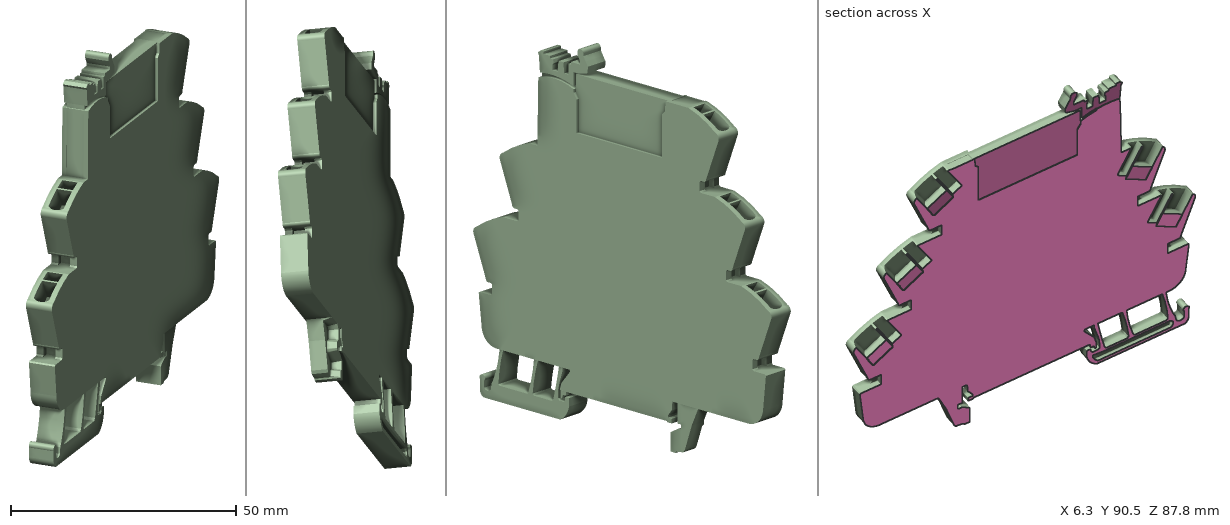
import cadquery as cq
import math


housing_width = 6.3
foot_width = 6.0
lever_width = 5.7
relay_width = 4.86
relay_bottom = 68.1
housing_length = 90.51
overall_height = 87.83

left_face = -housing_width / 2
right_face = housing_width / 2
foot_right_face = left_face + foot_width

level_pitch = 19.0
step_in = 8.0
base_top = 24.5
base_half_length = 43.6
base_chamfer = 0.3
base_bottom = 11.9
rail_seat = 7.0
foot_top = 12.4
shoulder_start = -14.8
end_wall = -25.8
end_wall_top = (-25.5, 78.5)
housing_top = base_top + 3 * level_pitch

head_flat_start = 9.2
head_inner_end = 12.0
head_wall = 5.77
head_underside = 16.2

well_tilt = 30.0
well_half_width = 1.86
wire_entry_length = 5.9
wire_entry_bulge = 0.8
wire_entry_depth = 5.4
clamp_length = 3.5
well_partition = 0.45
release_pocket_length = 2.7
release_pocket_depth = 8.0
well_overshoot = 3.0
well_edge_inset = 5.9
well_edge_drop = 1.25

notch_channel_width = 2.86
notch_channel_depth = 1.5
notch_chamfer = 0.35

marker_width = 4.28
marker_depth = 0.1
top_label_start = 13.7
top_label_end = 19.25
top_label_right = 1.86
leg_web_depth = 2.2
leg_web_draft = 12.0
foot_groove_depth = 4.0
root = 0.5

heads = [(1, 1), (1, 2), (1, 3), (-1, 1), (-1, 2)]


def profile(points, x_from, x_to):
    """Straight-sided (y, z) outline extruded from x_from to x_to."""
    return cq.Workplane("YZ").workplane(offset=x_from).polyline(points).close().extrude(x_to - x_from)


def tip_y(side, level):
    return side * (housing_length / 2 - (level - 1) * step_in)


def level_top(level):
    return base_top + level * level_pitch


def slab(y_a, y_b, z_a, z_b, width):
    """Block centred on X = 0 between two Y and two Z values."""
    return (
        cq.Workplane("XY")
        .box(width, abs(y_b - y_a), z_b - z_a)
        .translate((0, (y_a + y_b) / 2, (z_a + z_b) / 2))
    )


def terminal_head(side, level):
    tip = tip_y(side, level)
    top = level_top(level)

    def at(inward, down):
        return (tip - side * inward, top - down)

    return (
        cq.Workplane("YZ")
        .workplane(offset=left_face)
        .moveTo(*at(head_inner_end, 0))
        .lineTo(*at(head_flat_start, 0))
        .threePointArc(at(4.95, 1.6), at(1.0, 4.0))
        .threePointArc(at(0.085, 4.85), at(0.15, 5.95))
        .lineTo(*at(3.8, 15.5))
        .threePointArc(at(4.0, 16.0), at(4.5, head_underside))
        .lineTo(*at(head_wall - notch_chamfer, head_underside))
        .lineTo(*at(head_wall, head_underside + notch_chamfer))
        .lineTo(*at(head_wall, level_pitch - notch_chamfer))
        .lineTo(*at(head_wall - notch_chamfer, level_pitch))
        .lineTo(*at(head_inner_end, level_pitch))
        .close()
        .extrude(housing_width)
    )


def base():
    return (
        cq.Workplane("YZ")
        .workplane(offset=left_face)
        .moveTo(base_half_length - base_chamfer, base_top)
        .lineTo(base_half_length, base_top - base_chamfer)
        .lineTo(42.7, 15.8)
        .threePointArc((41.3, 13.1), (38.4, base_bottom))
        .lineTo(15.2, base_bottom)
        .lineTo(15.0, 9.8)
        .lineTo(13.8, 8.3)
        .lineTo(13.8, 7.85)
        .lineTo(15.0, 7.85)
        .lineTo(15.0, 6.75)
        .lineTo(13.8, 6.75)
        .lineTo(13.4, rail_seat)
        .lineTo(-19.0, rail_seat)
        .lineTo(-18.5, 8.75)
        .lineTo(-15.85, 12.0)
        .lineTo(-16.05, foot_top)
        .lineTo(-38.0, foot_top)
        .threePointArc((-41.3, 13.6), (-42.75, 16.9))
        .lineTo(-base_half_length, base_top - base_chamfer)
        .lineTo(-base_half_length + base_chamfer, base_top)
        .close()
        .extrude(housing_width)
    )


def relay_tower():
    """Top storey: relay bay, then the domed shoulder under the lever."""
    wall = tip_y(1, 3) - head_flat_start
    return (
        cq.Workplane("YZ")
        .workplane(offset=left_face)
        .moveTo(wall, level_top(2))
        .lineTo(wall, housing_top)
        .lineTo(shoulder_start, housing_top)
        .lineTo(shoulder_start, 78.1)
        .threePointArc((-20.8, 79.3), end_wall_top)
        .lineTo(end_wall, level_top(2))
        .close()
        .extrude(housing_width)
    )


def stepped_body():
    body = base().union(relay_tower())
    for level in (1, 2):
        wall = tip_y(1, level) - head_flat_start
        body = body.union(slab(-wall, wall, level_top(level - 1), level_top(level), housing_width))
    for side, level in heads:
        body = body.union(terminal_head(side, level))
    return body


def lever_rib():
    """Narrow rib on the shoulder that the lever rests on."""
    outline = [(-19.0, 77.5), (-19.0, 80.0), (-25.3, 80.0), (-25.3, 77.5)]
    return profile(outline, -marker_width / 2, marker_width / 2)


def marker_recess():
    wall_top_y, wall_top_z = end_wall_top
    outside = end_wall - 1
    outline = [
        (wall_top_y + marker_depth, wall_top_z),
        (end_wall + marker_depth, level_top(2)),
        (outside, level_top(2)),
        (outside, wall_top_z),
    ]
    return profile(outline, -marker_width / 2, marker_width / 2)


def top_label_recess():
    """Shallow label field beside the relay, open on the -X side."""
    return (
        cq.Workplane("XY")
        .workplane(offset=housing_top - marker_depth)
        .moveTo(left_face, top_label_start)
        .lineTo(top_label_right, top_label_start)
        .lineTo(top_label_right, top_label_end)
        .lineTo(left_face, top_label_end)
        .close()
        .extrude(2 * marker_depth)
    )


def notch_channel(side, level):
    """Central groove in the back wall of the finger notch under a head."""
    wall = tip_y(side, level) - side * head_wall
    mouth = wall + side * notch_chamfer
    floor = level_top(level - 1)
    ceiling = level_top(level) - head_underside
    return slab(mouth, wall - side * notch_channel_depth, floor, ceiling, notch_channel_width)


def spring_leg():
    outline = [
        (22.8, base_bottom), (20.8, 7.5), (18.7, 1.3), (18.2, 0.65), (16.1, 0.35), (15.9, 0),
        (14.35, 0), (14.35, 4.5), (15.1, 4.95), (16.6, 5.8), (17.6, 5.8), (17.6, 7.0), (16.4, 7.0),
        (16.4, base_bottom + root), (22.8, base_bottom + root),
    ]
    leg = profile(outline, left_face, foot_right_face)
    web = [
        (30, 11.9), (18.55, 11.9), (17.6, 10.9), (17.6, 8.5), (18.9, 7.4), (18.9, 6.0), (18.6, 5.6),
        (15.1, 4.3), (15.1, 2.2), (15.95, 1.6), (15.95, -5), (30, -5),
    ]
    recess = (
        cq.Workplane("YZ")
        .workplane(offset=left_face)
        .polyline(web)
        .close()
        .extrude(leg_web_depth, taper=leg_web_draft)
    )
    return leg.cut(recess)


def fixed_hook():
    outline = [
        (-17.35, rail_seat + root), (-17.35, 5.95), (-18.3, 5.95), (-18.6, 5.0), (-19.0, 5.2),
        (-19.0, rail_seat), (-18.86, rail_seat + root),
    ]
    return profile(outline, left_face, foot_right_face)


def rail_foot():
    foot = (
        cq.Workplane("YZ")
        .workplane(offset=left_face)
        .moveTo(-18.35, foot_top + root)
        .lineTo(-18.4, 11.6)
        .lineTo(-19.35, 8.55)
        .lineTo(-19.75, 6.9)
        .lineTo(-19.85, 4.75)
        .lineTo(-19.4, 4.4)
        .lineTo(-18.0, 4.4)
        .lineTo(-17.6, 4.95)
        .lineTo(-17.6, 5.6)
        .lineTo(-16.45, 5.6)
        .lineTo(-16.45, 3.65)
        .threePointArc((-17.3, 1.6), (-19.2, 0))
        .lineTo(-42.4, 0)
        .threePointArc((-43.25, 0.75), (-43.55, 1.8))
        .lineTo(-43.55, 4.1)
        .threePointArc((-42.8, 5.3), (-41.95, 4.5))
        .lineTo(-42.2, 3.95)
        .lineTo(-42.2, 2.3)
        .threePointArc((-41.3, 1.8), (-40.2, 2.4))
        .lineTo(-39.95, 3.85)
        .lineTo(-39.5, 4.7)
        .threePointArc((-38.27, 8.3), (-37.6, 11.9))
        .lineTo(-37.6, foot_top + root)
        .close()
        .extrude(foot_width)
    )
    window_floor = 3.8
    inner_window = (
        cq.Workplane("YZ")
        .workplane(offset=left_face)
        .moveTo(-19.5, foot_top)
        .lineTo(-25.85, foot_top)
        .threePointArc((-26.9, 8.3), (-27.5, 4.2))
        .lineTo(-27.2, window_floor)
        .lineTo(-21.6, window_floor)
        .lineTo(-21.2, 4.4)
        .threePointArc((-20.3, 8.3), (-19.5, foot_top))
        .close()
        .extrude(foot_width)
    )
    outer_window = (
        cq.Workplane("YZ")
        .workplane(offset=left_face)
        .moveTo(-27.1, foot_top)
        .lineTo(-36.45, foot_top)
        .threePointArc((-37.4, 8.3), (-37.9, 4.1))
        .lineTo(-37.5, window_floor)
        .lineTo(-29.1, window_floor)
        .lineTo(-28.75, 4.4)
        .threePointArc((-27.7, 8.3), (-27.1, foot_top))
        .close()
        .extrude(foot_width)
    )
    groove = [
        (-18.2, 3.2), (-20.9, 2.95), (-38.7, 2.95), (-39.3, 2.4), (-39.3, 1.7), (-38.8, 1.0),
        (-19.4, 1.0), (-18.6, 1.8), (-18.1, 2.7),
    ]
    foot = foot.cut(inner_window).cut(outer_window)
    return foot.cut(profile(groove, left_face, left_face + foot_groove_depth))


def well_plane(side, level, depth):
    """Plane square to the well axis, `depth` below the head; local x runs outward."""
    lean = math.radians(well_tilt)
    axis = (0, side * math.sin(lean), math.cos(lean))
    outward = (0, side * math.cos(lean), -math.sin(lean))
    edge = (0, tip_y(side, level) - side * well_edge_inset, level_top(level) - well_edge_drop)
    origin = tuple(e - depth * a for e, a in zip(edge, axis))
    return cq.Workplane(cq.Plane(origin=origin, xDir=outward, normal=axis))


def wire_shaft(side, level, bottom, height):
    """Shaft with one rounded end, rising `height` from `bottom` below the head."""
    straight = wire_entry_length - wire_entry_bulge
    return (
        well_plane(side, level, bottom)
        .moveTo(0, -well_half_width)
        .lineTo(straight, -well_half_width)
        .threePointArc((wire_entry_length, 0), (straight, well_half_width))
        .lineTo(0, well_half_width)
        .close()
        .extrude(height)
    )


def wire_entry(side, level):
    bottom = wire_entry_depth + clamp_length
    return wire_shaft(side, level, bottom, bottom + well_overshoot)


def clamp(side, level):
    """Plug at the bottom of a wire entry."""
    return wire_shaft(side, level, wire_entry_depth + clamp_length, clamp_length)


def release_pocket(side, level):
    middle = -well_partition - release_pocket_length / 2
    return (
        well_plane(side, level, release_pocket_depth)
        .center(middle, 0)
        .rect(release_pocket_length, 2 * well_half_width)
        .extrude(release_pocket_depth + well_overshoot)
    )


relay_outline = [
    (13.15, housing_top), (12.9, 79.1), (12.1, 78.3), (12.1, relay_bottom),
    (-13.85, relay_bottom), (-13.85, 75.9),
    (shoulder_start, 77.3), (shoulder_start, housing_top),
]


def make_relay():
    return profile(relay_outline, -relay_width / 2, relay_width / 2)


def make_lever():
    hook_back = 84.15
    comb_top = 83.55
    comb_root = 81.0
    heel = -25.3
    return (
        cq.Workplane("YZ")
        .workplane(offset=-lever_width / 2)
        .moveTo(-12.12, 87.0)
        .threePointArc((-13.0, overall_height), (-13.9, 87.0))
        .lineTo(-13.9, 86.35)
        .lineTo(-13.05, 84.8)
        .lineTo(-13.05, hook_back)
        .lineTo(-15.9, hook_back)
        .lineTo(-15.9, comb_top)
        .lineTo(-16.65, comb_top)
        .lineTo(-16.55, comb_root)
        .lineTo(-18.0, comb_root)
        .lineTo(-18.1, comb_top)
        .lineTo(-19.55, comb_top)
        .lineTo(-19.85, 82.5)
        .lineTo(-19.85, comb_root)
        .lineTo(-21.45, comb_root)
        .lineTo(-21.5, 82.2)
        .lineTo(-21.1, 82.7)
        .lineTo(-21.3, comb_top)
        .lineTo(-22.25, comb_top)
        .lineTo(-22.25, hook_back)
        .lineTo(-24.15, hook_back)
        .lineTo(-24.15, 84.75)
        .lineTo(-25.2, 84.75)
        .lineTo(-25.95, 84.1)
        .lineTo(-25.6, comb_top)
        .lineTo(heel, 79.6)
        .threePointArc((-20.8, 79.85), (-15.15, 78.7))
        .lineTo(-15.15, 81.95)
        .lineTo(-13.4, 81.95)
        .lineTo(-10.8, 82.65)
        .lineTo(-10.75, 84.15)
        .lineTo(-11.4, 85.25)
        .lineTo(-12.1, 86.35)
        .close()
        .extrude(lever_width)
    )


relay = make_relay()
lever = make_lever()
clamps = [clamp(side, level) for side, level in heads]

housing = stepped_body().union(spring_leg()).union(fixed_hook()).union(rail_foot())
housing = housing.union(lever_rib()).cut(marker_recess()).cut(top_label_recess()).cut(lever)
housing = housing.cut(profile(relay_outline, left_face, right_face))
for side, level in heads:
    housing = housing.cut(wire_entry(side, level)).cut(release_pocket(side, level))
    housing = housing.cut(notch_channel(side, level))

result = cq.Compound.makeCompound(
    [housing.solids().val(), relay.val(), lever.val()] + [plug.val() for plug in clamps]
)